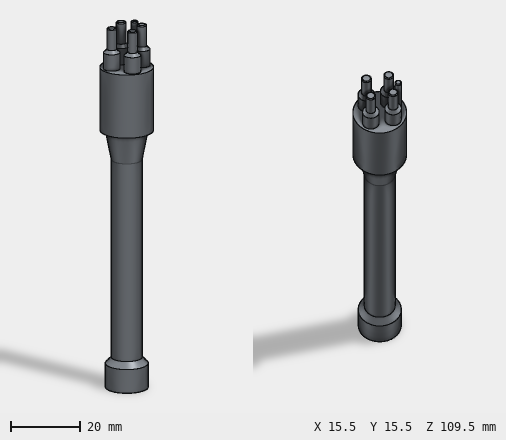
import cadquery as cq

total_height = 109.5

end_cap_height = 7.2
end_cap_cone_top = 9.1
strain_relief_bottom = 69.1
body_bottom = 78.0
body_top = 97.1

end_cap_diameter = 12.5
cable_diameter = 9.0
strain_relief_diameter = 12.5
body_diameter = 15.5

pin_diameter = 2.8
collar_diameter = 4.8
collar_height = 4.9
shoulder_height = (collar_diameter - pin_diameter) / 2
pin_spacing = 6.6

key_pin_diameter = 2.0
key_pin_offset = 5.5

tip_chamfer = 0.3


def revolve_profile(points):
    """Turn a closed outline of (radius, height) points around the Z axis."""
    return cq.Workplane("XZ").polyline(points).close().revolve(360, (0, 0, 0), (0, 1, 0))


def make_housing():
    """Cable with its end cap, tapered strain relief and connector body."""
    return revolve_profile([
        (0, 0),
        (end_cap_diameter / 2, 0),
        (end_cap_diameter / 2, end_cap_height),
        (cable_diameter / 2, end_cap_cone_top),
        (cable_diameter / 2, strain_relief_bottom),
        (strain_relief_diameter / 2, body_bottom),
        (body_diameter / 2, body_bottom),
        (body_diameter / 2, body_top),
        (0, body_top),
    ])


def make_contact_pin():
    """One contact pin with its collar, standing on the body's top face."""
    collar_top = body_top + collar_height
    return revolve_profile([
        (0, body_top),
        (collar_diameter / 2, body_top),
        (collar_diameter / 2, collar_top),
        (pin_diameter / 2, collar_top + shoulder_height),
        (pin_diameter / 2, total_height),
        (0, total_height),
    ])


def make_key_pin():
    """Thin straight pin near the rear edge of the body's top face."""
    return (
        cq.Workplane("XY", origin=(0, key_pin_offset, body_top))
        .circle(key_pin_diameter / 2)
        .extrude(total_height - body_top)
    )


result = make_housing()
contact_pin = make_contact_pin()
for x_side in (-1, 1):
    for y_side in (-1, 1):
        pin_position = (x_side * pin_spacing / 2, y_side * pin_spacing / 2, 0)
        result = result.union(contact_pin.translate(pin_position))
result = result.union(make_key_pin())
result = result.faces(">Z").edges().chamfer(tip_chamfer)